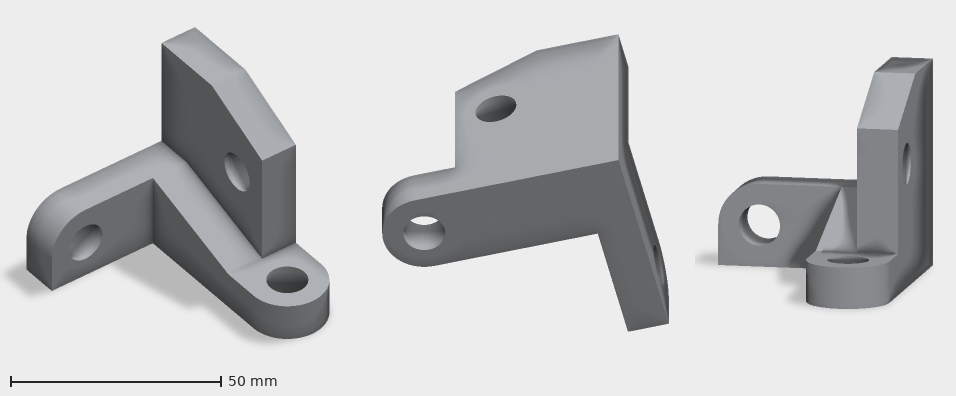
import cadquery as cq

LENGTH = 60.0
THICKNESS = LENGTH / 6
HOLE_DIAMETER = THICKNESS
HEIGHT = 5 * THICKNESS
DEPTH = 5 * THICKNESS
PLATE_WIDTH = 4 * THICKNESS
FOOT_HEIGHT = 2 * THICKNESS
BEVEL_WIDTH = 2 * THICKNESS
BEVEL_DROP = THICKNESS
LUG_HEIGHT = THICKNESS
LUG_RADIUS = THICKNESS
LUG_CENTER_X = LENGTH - LUG_RADIUS
ARM_RADIUS = THICKNESS

JOINT_Y = -THICKNESS
WEDGE_FRONT_Y = JOINT_Y - THICKNESS
ARM_FRONT_Y = -DEPTH

PLATE_HOLE_X = PLATE_WIDTH - THICKNESS
PLATE_HOLE_Z = 3 * THICKNESS


def make_plate():
    """Upright plate resting on the stepped and sloped top of the rear wedge."""
    outline = [
        (0, FOOT_HEIGHT),
        (THICKNESS, FOOT_HEIGHT),
        (PLATE_WIDTH, LUG_HEIGHT),
        (PLATE_WIDTH, HEIGHT - BEVEL_DROP),
        (PLATE_WIDTH - BEVEL_WIDTH, HEIGHT),
        (0, HEIGHT),
    ]
    plate = cq.Workplane("XZ").polyline(outline).close().extrude(THICKNESS)
    hole = (
        cq.Workplane("XZ")
        .center(PLATE_HOLE_X, PLATE_HOLE_Z)
        .circle(HOLE_DIAMETER / 2)
        .extrude(THICKNESS)
    )
    return plate.cut(hole)


def make_wedge(back_y):
    """Wedge one wall thick, running from the corner to its half of the round lug."""
    outline = [
        (0, 0),
        (LENGTH, 0),
        (LENGTH, LUG_HEIGHT),
        (PLATE_WIDTH, LUG_HEIGHT),
        (THICKNESS, FOOT_HEIGHT),
        (0, FOOT_HEIGHT),
    ]
    wedge = (
        cq.Workplane("XZ", origin=(0, back_y, 0))
        .polyline(outline)
        .close()
        .extrude(THICKNESS)
    )
    rounded_footprint = (
        cq.Workplane("XY")
        .moveTo(0, WEDGE_FRONT_Y)
        .lineTo(LUG_CENTER_X, WEDGE_FRONT_Y)
        .threePointArc((LENGTH, JOINT_Y), (LUG_CENTER_X, 0))
        .lineTo(0, 0)
        .close()
        .extrude(FOOT_HEIGHT)
    )
    lug_hole = (
        cq.Workplane("XY")
        .center(LUG_CENTER_X, JOINT_Y)
        .circle(HOLE_DIAMETER / 2)
        .extrude(LUG_HEIGHT)
    )
    return wedge.intersect(rounded_footprint).cut(lug_hole)


def make_arm():
    """Arm along Y with a rounded upper front corner and a hole along X."""
    arm = (
        cq.Workplane("YZ")
        .moveTo(JOINT_Y, 0)
        .lineTo(ARM_FRONT_Y, 0)
        .lineTo(ARM_FRONT_Y, FOOT_HEIGHT - ARM_RADIUS)
        .radiusArc((ARM_FRONT_Y + ARM_RADIUS, FOOT_HEIGHT), ARM_RADIUS)
        .lineTo(JOINT_Y, FOOT_HEIGHT)
        .close()
        .extrude(THICKNESS)
    )
    hole = (
        cq.Workplane("YZ")
        .center(ARM_FRONT_Y + ARM_RADIUS, FOOT_HEIGHT - ARM_RADIUS)
        .circle(HOLE_DIAMETER / 2)
        .extrude(THICKNESS)
    )
    return arm.cut(hole)


def make_front_bracket():
    """Arm and front wedge in one piece, including the front half of the lug."""
    return make_wedge(JOINT_Y).union(make_arm())


plate = make_plate()
rear_wedge = make_wedge(0)
front_bracket = make_front_bracket()

bodies = [plate, rear_wedge, front_bracket]
result = cq.Compound.makeCompound([body.solids().val() for body in bodies])